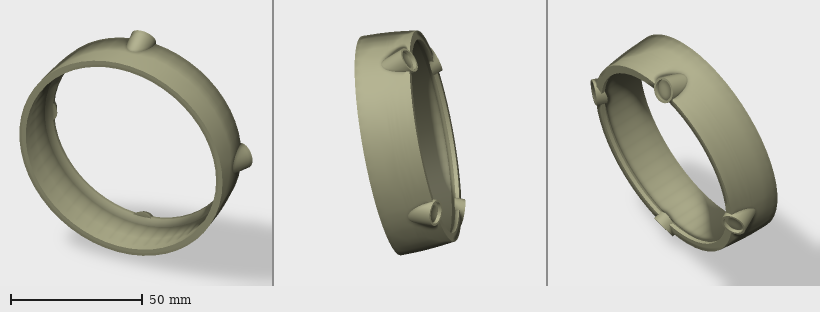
import cadquery as cq
import math

ring_depth = 21.1
front_radius = 42.5
back_radius = 40.9
bore_radius = 39.8
lip_radius = 37.5
lip_thickness = 1.5
bore_taper_length = 2.0

boss_count = 4
boss_diameter = 10.0
boss_tilt = 26.0
boss_reach = 46.4
boss_back = 23.55
boss_length = 16.7
recess_diameter = 8.25
recess_depth = 1.5

lip_front = ring_depth - lip_thickness
taper_front = lip_front - bore_taper_length

wall_drop = front_radius - back_radius
wall_arc_radius = (ring_depth**2 + wall_drop**2) / (2 * wall_drop)
wall_mid_y = ring_depth / 2
wall_mid_radius = front_radius - wall_arc_radius + math.sqrt(wall_arc_radius**2 - wall_mid_y**2)

tilt = math.radians(boss_tilt)
boss_radius = boss_diameter / 2
face_center_x = boss_reach - boss_radius * math.cos(tilt)
face_center_y = boss_back - boss_radius * math.sin(tilt)


def revolve_around_y(profile):
    return profile.close().revolve(360, (0, 0, 0), (0, 1, 0))


def outer_body():
    """Solid disc with the curved outer wall."""
    return revolve_around_y(
        cq.Workplane("XY")
        .lineTo(front_radius, 0)
        .threePointArc((wall_mid_radius, wall_mid_y), (back_radius, ring_depth))
        .lineTo(0, ring_depth)
    )


def bore():
    """Space inside the ring: straight, then tapering in to the lip."""
    return revolve_around_y(
        cq.Workplane("XY")
        .lineTo(bore_radius, 0)
        .lineTo(bore_radius, taper_front)
        .lineTo(lip_radius, lip_front)
        .lineTo(0, lip_front)
    )


def lip_opening():
    """Round opening through the back lip."""
    return cq.Workplane("XZ", origin=(0, lip_front, 0)).circle(lip_radius).extrude(-lip_thickness)


def inward_cylinder(diameter, length):
    """Cylinder on the +X boss axis, running inward from the boss end face."""
    inward = (-math.sin(tilt), -math.cos(tilt), 0)
    face = cq.Plane(origin=(face_center_x, face_center_y, 0), xDir=(0, 0, 1), normal=inward)
    return cq.Workplane(face).circle(diameter / 2).extrude(length)


def around_ring(feature):
    """Copies of a +X feature spaced evenly around the ring axis."""
    copies = cq.Workplane("XY")
    for index in range(boss_count):
        angle = index * 360 / boss_count
        copies = copies.add(feature.rotate((0, 0, 0), (0, 1, 0), angle))
    return copies.combine()


bosses = around_ring(inward_cylinder(boss_diameter, boss_length))
recesses = around_ring(inward_cylinder(recess_diameter, recess_depth))

pierced_body = outer_body().cut(lip_opening())
result = pierced_body.union(bosses).cut(bore()).cut(recesses)